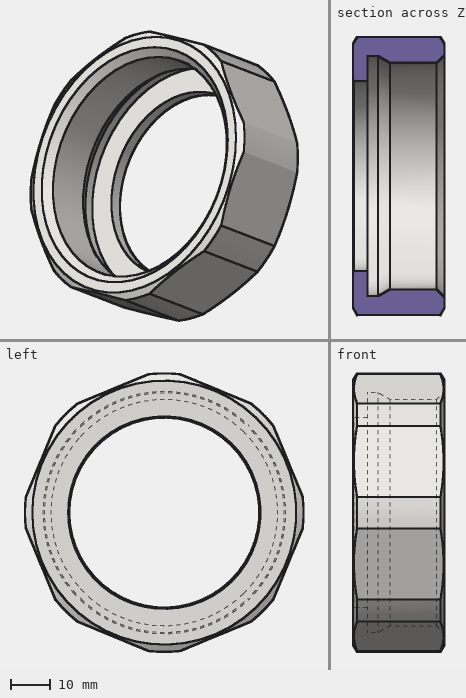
import cadquery as cq
import math

WIDTH = 23.0
ACROSS_FLATS = 67.0
CORNER_DIAMETER = 69.71
FLAT_COUNT = 8

END_FACE_DIAMETER = 66.0
END_CHAMFER_ANGLE = 30.0

LIP_BORE_DIAMETER = 47.5
LIP_LENGTH = 3.7
LIP_CHAMFER = 0.3
RELIEF_DIAMETER = 60.0
RELIEF_RUNOUT_ANGLE = 30.0
MAIN_BORE_DIAMETER = 56.66
MAIN_BORE_START = 9.25
MOUTH_CHAMFER = 2.0


def revolve_about_x(points):
    """Revolve a closed (x, radius) profile about the X axis."""
    return cq.Workplane("XY").polyline(points).close().revolve(360, (0, 0, 0), (1, 0, 0))


def make_octagon():
    """Octagonal prism along X with its corners on the Y and Z axes."""
    across_corners = ACROSS_FLATS / math.cos(math.pi / FLAT_COUNT)
    return cq.Workplane("YZ").polygon(FLAT_COUNT, across_corners).extrude(WIDTH)


def make_turned_envelope():
    """Disc that rounds the octagon corners and chamfers both end faces."""
    corner_radius = CORNER_DIAMETER / 2
    face_radius = END_FACE_DIAMETER / 2
    chamfer_length = (corner_radius - face_radius) * math.tan(math.radians(END_CHAMFER_ANGLE))
    return revolve_about_x([
        (0, 0),
        (0, face_radius),
        (chamfer_length, corner_radius),
        (WIDTH - chamfer_length, corner_radius),
        (WIDTH, face_radius),
        (WIDTH, 0),
    ])


def make_bore():
    """Lip bore, relief groove with conical runout, main bore and chamfered mouth as one solid."""
    lip_radius = LIP_BORE_DIAMETER / 2
    relief_radius = RELIEF_DIAMETER / 2
    main_radius = MAIN_BORE_DIAMETER / 2
    runout_length = (relief_radius - main_radius) / math.tan(math.radians(RELIEF_RUNOUT_ANGLE))
    relief_end = MAIN_BORE_START - runout_length
    return revolve_about_x([
        (0, 0),
        (0, lip_radius + LIP_CHAMFER),
        (LIP_CHAMFER, lip_radius),
        (LIP_LENGTH, lip_radius),
        (LIP_LENGTH, relief_radius),
        (relief_end, relief_radius),
        (MAIN_BORE_START, main_radius),
        (WIDTH - MOUTH_CHAMFER, main_radius),
        (WIDTH, main_radius + MOUTH_CHAMFER),
        (WIDTH, 0),
    ])


result = make_octagon().intersect(make_turned_envelope()).cut(make_bore())